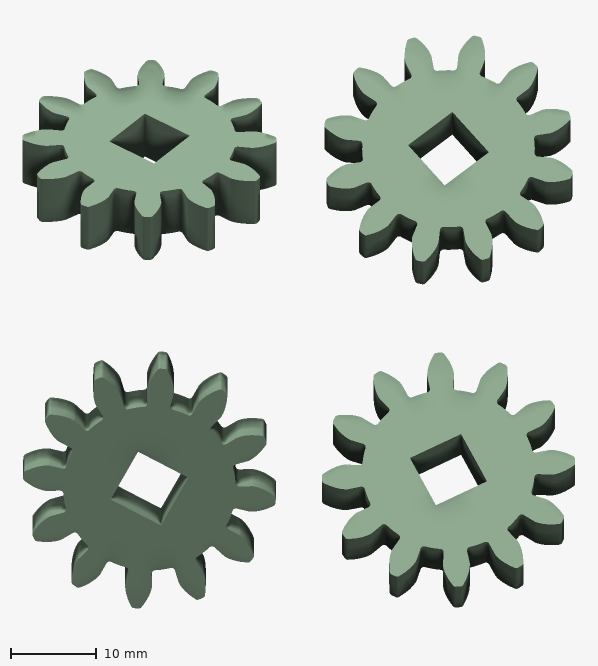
import cadquery as cq
import math

tooth_count = 12
pitch_radius = 11.97
tip_radius = 14.8
root_radius = 10.05
thickness = 6.35
bore_side = 6.68
root_fillet = 0.4
tip_fillet = 0.4

tooth_pitch_angle = 360 / tooth_count
half_tooth_angle = tooth_pitch_angle / 4
first_tooth_angle = tooth_pitch_angle / 4
tooth_angles = [first_tooth_angle + index * tooth_pitch_angle for index in range(tooth_count)]

root_overlap = 0.6
flank_samples = 8


def polar(radius, angle):
    """Point at a radius and an angle in degrees."""
    return radius * math.cos(math.radians(angle)), radius * math.sin(math.radians(angle))


def involute_flank():
    """Flank points from the pitch circle, which is the base circle, to the tip."""
    roll_end = math.sqrt((tip_radius / pitch_radius) ** 2 - 1)
    points = []
    for step in range(flank_samples + 1):
        roll = roll_end * step / flank_samples
        radius = pitch_radius * math.sqrt(1 + roll ** 2)
        swing = math.degrees(roll - math.atan(roll))
        points.append(polar(radius, swing - half_tooth_angle))
    return points


def make_tooth():
    """One tooth along +X: radial lower flanks, involute upper flanks, rounded tip."""
    lower_flank = involute_flank()
    upper_flank = [(x, -y) for x, y in reversed(lower_flank)]
    foot = polar(root_radius - root_overlap, -half_tooth_angle)
    tooth = (
        cq.Workplane("XY")
        .moveTo(*foot)
        .lineTo(*lower_flank[0])
        .spline(lower_flank[1:], includeCurrent=True)
        .threePointArc((tip_radius, 0), upper_flank[0])
        .spline(upper_flank[1:], includeCurrent=True)
        .lineTo(foot[0], -foot[1])
        .close()
        .extrude(thickness)
    )
    tip_edges = cq.selectors.BoxSelector(
        (tip_radius - tip_fillet, -tip_radius, 0),
        (tip_radius + tip_fillet, tip_radius, thickness),
    )
    return tooth.edges("|Z").edges(tip_edges).fillet(tip_fillet)


gear = cq.Workplane("XY").circle(root_radius).extrude(thickness)
tooth = make_tooth()
for angle in tooth_angles:
    gear = gear.union(tooth.rotate((0, 0, 0), (0, 0, 1), angle))

root_corners = []
for angle in tooth_angles:
    for side in (-1, 1):
        x, y = polar(root_radius, angle + side * half_tooth_angle)
        root_corners.append((x, y, thickness / 2))
for corner in root_corners:
    gear = gear.edges("|Z").edges(cq.selectors.NearestToPointSelector(corner)).fillet(root_fillet)

bore = cq.Workplane("XY").rect(bore_side, bore_side).extrude(thickness)
result = gear.cut(bore)